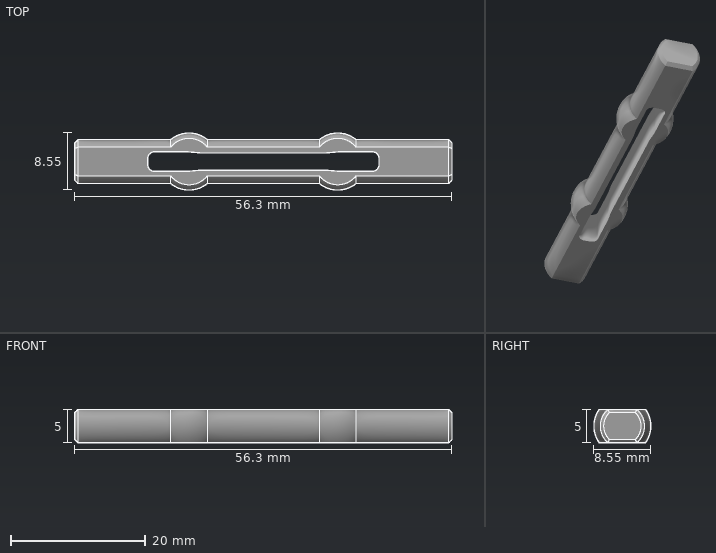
import cadquery as cq

length = 56.25
thickness = 5.0
bar_diameter = 6.6
ball_diameter = 8.55
ball_offset = 11.1
end_chamfer = 0.5

slot_length = 34.4
slot_end_width = 2.85
slot_middle_width = 2.55
slot_middle_length = 18.7
slot_flare_length = 1.95
slot_corner_radius = 0.95


def flattened_bar():
    """Cylinder and balls cut to the flat thickness, with chamfered ends."""
    flat_slab = cq.Workplane("XY").box(length, ball_diameter, thickness)
    bar = (
        cq.Workplane("YZ")
        .circle(bar_diameter / 2)
        .extrude(length / 2, both=True)
        .intersect(flat_slab)
        .faces("<X or >X")
        .chamfer(end_chamfer)
    )
    balls = (
        cq.Workplane("XY")
        .pushPoints([(-ball_offset, 0), (ball_offset, 0)])
        .sphere(ball_diameter / 2)
        .intersect(flat_slab)
    )
    return bar.union(balls)


def slot_cutter():
    """Slot volume: one quarter of the outline mirrored about both axes."""
    end_x = slot_length / 2
    flare_start_x = slot_middle_length / 2
    flare_end_x = flare_start_x + slot_flare_length
    half_middle = slot_middle_width / 2
    half_end = slot_end_width / 2
    quarter = [
        (flare_start_x, half_middle),
        (flare_end_x, half_end),
        (end_x, half_end),
    ]
    right_side = quarter + [(x, -y) for x, y in reversed(quarter)]
    left_side = [(-x, -y) for x, y in right_side]
    slot = (
        cq.Workplane("XY")
        .polyline(right_side + left_side)
        .close()
        .extrude(thickness, both=True)
    )
    return slot.edges("|Z and (<X or >X)").fillet(slot_corner_radius)


result = flattened_bar().cut(slot_cutter())